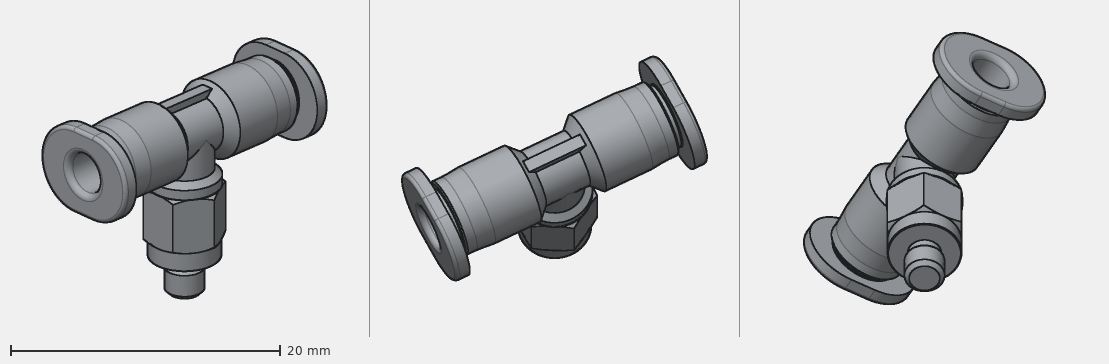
import cadquery as cq
import math


length = 21.1
half_length = length / 2
flange_thickness = 1.15
neck_length = 0.49
lead_in = 0.13
collar_length = 0.75
taper_length = 1.45
port_root_y = 2.72

run_radius = 2.25
port_radius = 3.15
port_end_radius = 3.02
neck_radius = 2.51
neck_root_fillet = 0.08

flange_back_y = half_length - flange_thickness
port_end_y = flange_back_y - neck_length
taper_end_y = port_end_y - lead_in - collar_length
barrel_end_y = taper_end_y - taper_length
cone_root_y = port_root_y - (port_radius - run_radius)

flange_width = 9.0
flange_height = 7.0
flange_edge_fillet = 0.3

bore_radius = 1.6
bore_mouth_fillet = 0.49
bore_depth = half_length - port_root_y

rib_width = 1.0
rib_top_z = 2.8

collar_radius = 2.83
shoulder_top_z = -3.08
shoulder_bottom_z = -3.59
hex_top_z = -4.4
hex_bottom_z = -8.86
base_bottom_z = -10.35
neck_bottom_z = -11.08
thread_tip_z = -13.4

hex_across_flats = 5.5
hex_chamfer_angle = 30.0
base_radius = hex_across_flats / 2
base_edge_chamfer = 0.06
thread_neck_radius = 1.27
thread_radius = 1.5
thread_top_chamfer = thread_radius - thread_neck_radius
thread_tip_chamfer = 0.35


def make_run():
    """Run and both port bodies, turned around the Y axis."""
    half_profile = [
        (run_radius, cone_root_y),
        (port_radius, port_root_y),
        (port_radius, barrel_end_y),
        (port_end_radius, taper_end_y),
        (port_end_radius, port_end_y - lead_in),
        (port_end_radius - lead_in, port_end_y),
        (neck_radius, port_end_y),
        (neck_radius, flange_back_y - neck_root_fillet),
        (neck_radius + neck_root_fillet, flange_back_y),
        (0, flange_back_y),
    ]
    mirrored = [(radius, -y) for radius, y in reversed(half_profile)]
    return cq.Workplane("XY").polyline(mirrored + half_profile).close().revolve(360, (0, 0), (0, 1))


def make_flange():
    """Oval flange at the -Y end with its outer edge rounded."""
    return (
        cq.Workplane("XZ", origin=(0, -flange_back_y, 0))
        .slot2D(flange_width, flange_height)
        .extrude(flange_thickness)
        .faces("<Y")
        .edges()
        .fillet(flange_edge_fillet)
    )


def make_bore():
    """Blind tube bore entering from the -Y end, with a rounded mouth."""
    mouth_radius = bore_radius + bore_mouth_fillet
    arc_offset = bore_mouth_fillet * (1 - math.sqrt(0.5))
    return (
        cq.Workplane("XY")
        .moveTo(0, -half_length)
        .lineTo(mouth_radius, -half_length)
        .threePointArc(
            (bore_radius + arc_offset, -half_length + arc_offset),
            (bore_radius, -half_length + bore_mouth_fillet),
        )
        .lineTo(bore_radius, -half_length + bore_depth)
        .lineTo(0, -half_length + bore_depth)
        .close()
        .revolve(360, (0, 0), (0, 1))
    )


def make_rib():
    """Flat-topped rib above the run, ending on the 45 degree port cones."""
    rib_end_y = cone_root_y + (rib_top_z - run_radius)
    return (
        cq.Workplane("YZ")
        .polyline([
            (-cone_root_y, 0),
            (cone_root_y, 0),
            (cone_root_y, run_radius),
            (rib_end_y, rib_top_z),
            (-rib_end_y, rib_top_z),
            (-cone_root_y, run_radius),
        ])
        .close()
        .extrude(rib_width / 2, both=True)
    )


def make_branch():
    """Turned parts of the branch: stem, shoulder, collar, base and thread."""
    profile = [
        (0, 0),
        (run_radius, 0),
        (run_radius, shoulder_top_z),
        (collar_radius, shoulder_bottom_z),
        (collar_radius, hex_top_z),
        (base_radius, hex_top_z),
        (base_radius, base_bottom_z + base_edge_chamfer),
        (base_radius - base_edge_chamfer, base_bottom_z),
        (thread_neck_radius, base_bottom_z),
        (thread_neck_radius, neck_bottom_z),
        (thread_radius, neck_bottom_z - thread_top_chamfer),
        (thread_radius, thread_tip_z + thread_tip_chamfer),
        (thread_radius - thread_tip_chamfer, thread_tip_z),
        (0, thread_tip_z),
    ]
    return cq.Workplane("XZ").polyline(profile).close().revolve(360, (0, 0), (0, 1))


def make_hex():
    """Hexagon with corners on the X axis and its corners chamfered at both ends."""
    across_corners = hex_across_flats / math.cos(math.radians(30))
    corner_radius = across_corners / 2
    corner_drop = (corner_radius - base_radius) * math.tan(math.radians(hex_chamfer_angle))
    prism = (
        cq.Workplane("XY", origin=(0, 0, hex_bottom_z))
        .polygon(6, across_corners)
        .extrude(hex_top_z - hex_bottom_z)
    )
    chamfer_envelope = (
        cq.Workplane("XZ")
        .polyline([
            (0, hex_top_z),
            (base_radius, hex_top_z),
            (corner_radius, hex_top_z - corner_drop),
            (corner_radius, hex_bottom_z + corner_drop),
            (base_radius, hex_bottom_z),
            (0, hex_bottom_z),
        ])
        .close()
        .revolve(360, (0, 0), (0, 1))
    )
    return prism.intersect(chamfer_envelope)


body = make_run().union(make_rib()).union(make_branch()).union(make_hex())

flange = make_flange()
bore = make_bore()
for turn in (0, 180):
    body = body.union(flange.rotate((0, 0, 0), (0, 0, 1), turn))
    body = body.cut(bore.rotate((0, 0, 0), (0, 0, 1), turn))

result = body